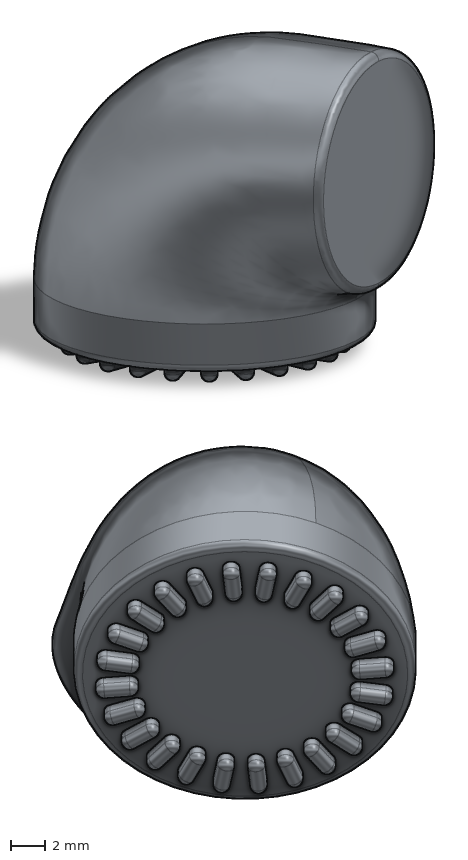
import cadquery as cq
import math

base_radius = 10.0
base_height = 3.0
edge_fillet = 0.5

mouth_radius = 7.25
mouth_x = 11.5
outer_bend_radius = 15.2
inner_bend_radius = 0.7
section_count = 17

rib_count = 24
rib_width = 1.0
rib_height = 1.0
rib_tip_radius = 8.75
rib_length = 2.5


def guide_point(bend_radius, start_x, fraction):
    """Point (x, z) at a fraction of the length of a quarter bend followed by a straight run to the mouth."""
    bend_length = bend_radius * math.pi / 2
    bend_centre_x = start_x + bend_radius
    straight_length = mouth_x - bend_centre_x
    distance = fraction * (bend_length + straight_length)
    if distance > bend_length:
        return bend_centre_x + distance - bend_length, base_height + bend_radius
    angle = distance / bend_radius
    x = bend_centre_x - bend_radius * math.cos(angle)
    z = base_height + bend_radius * math.sin(angle)
    return x, z


def elbow_section(fraction):
    """Ellipse spanning the outer and inner guides, with a half-width that tapers evenly along the elbow."""
    outer_x, outer_z = guide_point(outer_bend_radius, -base_radius, fraction)
    inner_x, inner_z = guide_point(inner_bend_radius, base_radius, fraction)
    span_x = inner_x - outer_x
    span_z = inner_z - outer_z
    centre = cq.Vector((outer_x + inner_x) / 2, 0, (outer_z + inner_z) / 2)
    half_span = math.hypot(span_x, span_z) / 2
    half_width = base_radius + (mouth_radius - base_radius) * fraction
    normal = cq.Vector(-span_z, 0, span_x)
    toward_outer = cq.Vector(-span_x, 0, -span_z)
    halves = [
        cq.Edge.makeEllipse(half_span, half_width, centre, normal, toward_outer, start, start + 180)
        for start in (0, 180)
    ]
    return cq.Wire.assembleEdges(halves)


def make_elbow():
    sections = [elbow_section(i / (section_count - 1)) for i in range(section_count)]
    elbow = cq.Workplane(cq.Solid.makeLoft(sections))
    return elbow.faces(">X").edges().fillet(edge_fillet)


def make_collar():
    collar = cq.Workplane("XY").circle(base_radius).extrude(base_height)
    return collar.faces("<Z").edges().fillet(edge_fillet)


def make_rib():
    """Radial rib along +X: a round-ended bar whose lower edge is fully rounded."""
    rib_radius = rib_width / 2
    outer_x = rib_tip_radius - rib_radius
    inner_x = rib_tip_radius - rib_length + rib_radius
    core_length = outer_x - inner_x
    shank_height = rib_height - rib_radius
    bar = (
        cq.Workplane("XY")
        .center((outer_x + inner_x) / 2, 0)
        .slot2D(rib_length, rib_width)
        .extrude(-shank_height)
    )
    rounded_edge = (
        cq.Workplane("YZ", origin=(inner_x, 0, -shank_height)).circle(rib_radius).extrude(core_length)
    )
    rib = bar.union(rounded_edge)
    for end_x in (inner_x, outer_x):
        rib = rib.union(cq.Workplane("XY", origin=(end_x, 0, -shank_height)).sphere(rib_radius))
    return rib


result = make_collar().union(make_elbow())
first_rib = make_rib()
for i in range(rib_count):
    result = result.union(first_rib.rotate((0, 0, 0), (0, 0, 1), i * 360 / rib_count))